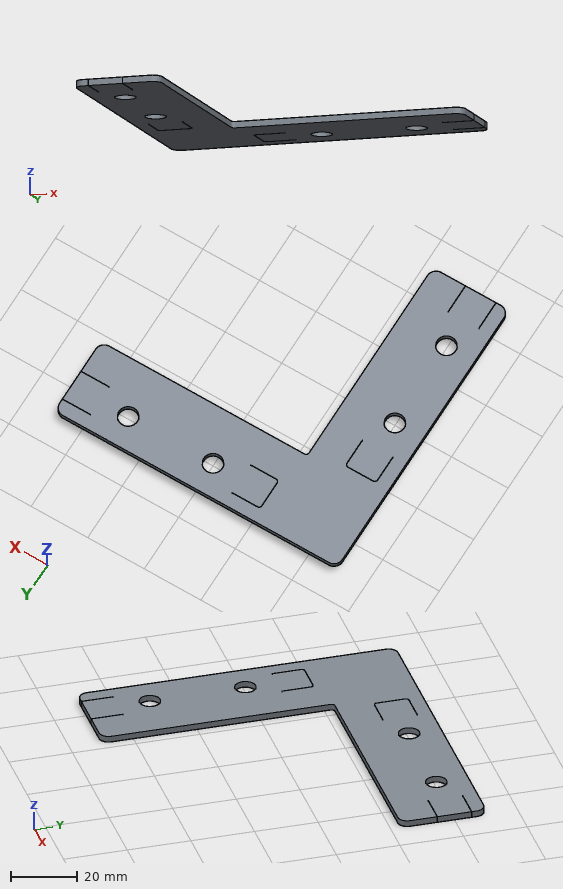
import cadquery as cq

leg_length = 100.0
leg_width = 27.0
thickness = 2.0
corner_radius = 3.0
inner_radius = 1.0

hole_diameter = 6.5
hole_line = 10.0
hole_stations = (50.0, 80.0)

slit_width = 0.1
tab_width = 10.7
tab_radius = 0.9
tab_start = 30.0
slit_reach = 10.0

half = leg_length / 2
slot_span = tab_width + 2 * slit_width
inner_slit_end = hole_stations[0] - slit_reach
outer_slit_start = hole_stations[1] + slit_reach


def block(start, end, width):
    """Block along the horizontal leg, centred on its line of holes."""
    return (
        cq.Workplane("XY")
        .box(end - start, width, thickness)
        .translate(((start + end) / 2 - half, half - hole_line, 0))
    )


def mirrored_to_both_legs(shape):
    """Add a copy of the shape reflected about the diagonal of the bracket."""
    diagonal_copy = shape.mirror("YZ").rotate((0, 0, 0), (0, 0, 1), 90)
    return shape.union(diagonal_copy)


def plate():
    """L-shaped plate with its outer corner at -X, +Y."""
    inner_x = leg_width - half
    inner_y = half - leg_width
    outline = [(-half, -half), (inner_x, -half), (inner_x, inner_y),
               (half, inner_y), (half, half), (-half, half)]
    body = (
        cq.Workplane("XY")
        .polyline(outline)
        .close()
        .extrude(thickness / 2, both=True)
    )
    inner_corner = cq.selectors.NearestToPointSelector((inner_x, inner_y, 0))
    body = body.edges(inner_corner).fillet(inner_radius)
    outer_points = [point for point in outline if point != (inner_x, inner_y)]
    for corner in outer_points:
        outer_corner = cq.selectors.NearestToPointSelector((*corner, 0))
        body = body.edges(outer_corner).fillet(corner_radius)
    return body


def inner_slit():
    """U-shaped slit that frees three sides of the inner tab."""
    outside = block(tab_start, inner_slit_end, slot_span)
    outside = outside.edges("|Z and <X").fillet(tab_radius + slit_width)
    tab = block(tab_start + slit_width, inner_slit_end, tab_width)
    tab = tab.edges("|Z and <X").fillet(tab_radius)
    return outside.cut(tab)


def outer_slits():
    """Pair of parallel slits running out through the end of the leg."""
    outside = block(outer_slit_start, leg_length, slot_span)
    return outside.cut(block(outer_slit_start, leg_length, tab_width))


def holes():
    """Through holes of the horizontal leg."""
    centres = [(station - half, half - hole_line) for station in hole_stations]
    return (
        cq.Workplane("XY")
        .pushPoints(centres)
        .circle(hole_diameter / 2)
        .extrude(thickness / 2, both=True)
    )


result = plate()
for cutter in (holes(), inner_slit(), outer_slits()):
    result = result.cut(mirrored_to_both_legs(cutter))